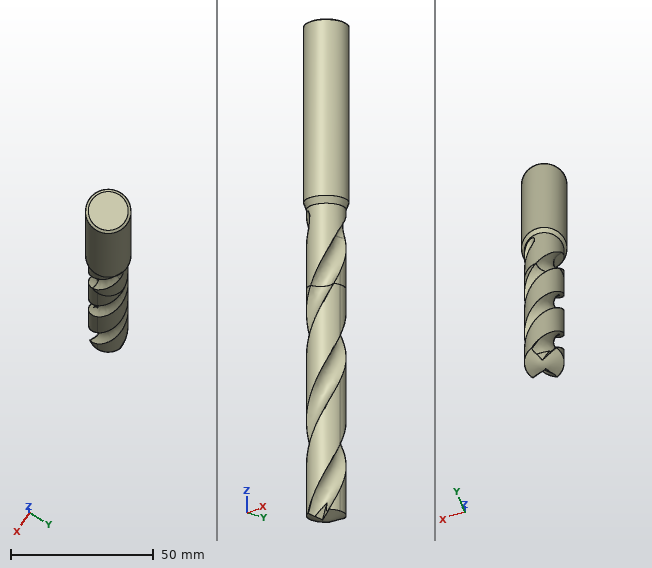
import cadquery as cq
import math

total_length = 185.0
shank_diameter = 16.0
drill_diameter = 14.0
point_angle = 140.0

cutter_length = 86.8
flute_end_height = 106.7
neck_height = 116.4
taper_top_height = 119.0

chamfer_height = 0.6
chamfer_width = 1.0

flute_count = 2
flute_pitch = 81.0
web_radius = 3.3
flute_radius = 5.0
flute_end_angle = 210.0
runout_angle = 39.0
runout_lean = 14.0
runout_rise = 14.0

gash_root = cq.Vector(-0.1, -1.75, 0.63)
gash_top = cq.Vector(2.7, -2.3, 5.9)
gash_overrun = 1.0
gash_long_side = 6.5
gash_long_side_angle = -32.0
gash_short_side = 3.5
gash_short_side_angle = 67.0

shank_radius = shank_diameter / 2
drill_radius = drill_diameter / 2
point_height = drill_radius / math.tan(math.radians(point_angle / 2))
flute_offset = web_radius + flute_radius
flute_start_height = -2.0
flute_height = flute_end_height - flute_start_height
flute_twist = 360.0 * flute_height / flute_pitch


def revolve_profile(points):
    """Solid turned about Z from (radius, height) points."""
    return cq.Workplane("XZ").polyline(points).close().revolve(360, (0, 0, 0), (0, 1, 0))


def polar_point(distance, angle):
    """Planar point at a distance and an angle in degrees."""
    radians = math.radians(angle)
    return (distance * math.cos(radians), distance * math.sin(radians))


def helical_flute(end_angle):
    """Helical part of a flute, reaching the given direction at its top."""
    return (
        cq.Workplane("XY", origin=(0, 0, flute_start_height))
        .moveTo(*polar_point(flute_offset, end_angle - flute_twist))
        .circle(flute_radius)
        .twistExtrude(flute_height, flute_twist)
    )


def flute_runout(end_angle):
    """Straight end of a flute, leaving the drill along a slope near the tangent."""
    center = cq.Vector(*polar_point(flute_offset, end_angle), flute_end_height)
    section = cq.Wire.makeCircle(flute_radius, center, cq.Vector(0, 0, 1))
    drift = runout_rise * math.tan(math.radians(runout_angle))
    heading = end_angle + 90.0 - runout_lean
    path = cq.Vector(*polar_point(drift, heading), runout_rise)
    return cq.Workplane(cq.Solid.extrudeLinear(section, [], path))


def point_gash(turn):
    """V-shaped cutter for one gash, turned about the drill axis."""
    valley = gash_top - gash_root
    start = gash_root - valley.normalized() * gash_overrun
    square_to_valley = cq.Plane(origin=(0, 0, 0), normal=valley)
    outward = cq.Vector(0, -1, 0).projectToPlane(square_to_valley)
    section_plane = cq.Plane(origin=start, xDir=outward, normal=valley)
    sides = [(gash_long_side, gash_long_side_angle), (gash_short_side, gash_short_side_angle)]
    ends = [polar_point(length, angle) for length, angle in sides]
    return (
        cq.Workplane(section_plane)
        .polyline([(0, 0), *ends])
        .close()
        .extrude(valley.Length + 2 * gash_overrun)
        .rotate((0, 0, 0), (0, 0, 1), turn)
    )


cutter = revolve_profile([
    (0, 0),
    (drill_radius, point_height),
    (drill_radius, cutter_length),
    (0, cutter_length),
])

shank = revolve_profile([
    (0, cutter_length),
    (drill_radius, cutter_length),
    (drill_radius, neck_height),
    (shank_radius, taper_top_height),
    (shank_radius, total_length - chamfer_height),
    (shank_radius - chamfer_width, total_length),
    (0, total_length),
])

for index in range(flute_count):
    turn = index * 360.0 / flute_count
    end_angle = flute_end_angle + turn
    helix = helical_flute(end_angle)
    cutter = cutter.cut(helix).cut(point_gash(turn))
    shank = shank.cut(helix).cut(flute_runout(end_angle))

result = cq.Compound.makeCompound([cutter.val(), shank.val()])